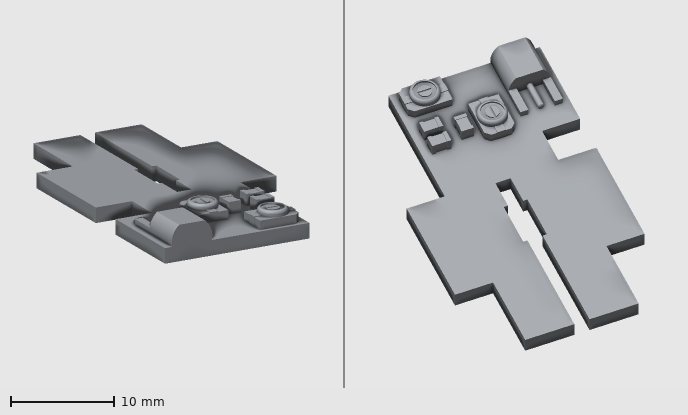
import cadquery as cq

board_length = 34.0
board_width = 20.0
board_thickness = 1.6
wing_start_x = 8.0
wing_end_x = 20.0
corner_start_x = 24.0
edge_step = 4.0
slot_end_x = 19.62
slot_width = 1.6
window_start_x = 11.65
window_end_x = 16.5
window_width = 2.48

chip_length = 2.0
chip_width = 1.3
chip_height = 1.25
cap_length = 0.4
core_inset = 0.07
chip_places = [(26.0, 14.0, 90), (28.0, 14.0, 90), (27.0, 11.0, 0)]

block_length = 4.52
block_width = 3.2
block_height = 0.95
block_chamfer = 0.5
contact_width = 0.9
contact_height = 1.05
contact_overhang = 0.05
rotor_radius = 1.53
rotor_rim_radius = 1.3
rotor_shoulder_height = 1.3
rotor_height = 1.6
rotor_rim_bulge = 0.055
recess_radius = 1.2
recess_depth = 0.2
screw_radius = 0.7
screw_height = 0.15
screw_slot_width = 0.2
trimmer_places = [(27.0, 8.0, 0), (32.0, 13.0, -90)]

connector_y = 3.0
shell_length = 4.5
shell_radius = 2.25
shell_height = 2.15
axis_height = 0.4
prong_reach = 3.0
prong_height = 0.65
prong_inner_y = 1.4
pin_radius = 0.35
pin_chamfer = 0.1


def make_board():
    middle_y = board_width / 2
    far_step_y = board_width - edge_step
    outline = [
        (0, edge_step),
        (wing_start_x, edge_step),
        (wing_start_x, 0),
        (wing_end_x, 0),
        (wing_end_x, edge_step),
        (corner_start_x, edge_step),
        (corner_start_x, 0),
        (board_length, 0),
        (board_length, far_step_y),
        (wing_end_x, far_step_y),
        (wing_end_x, board_width),
        (wing_start_x, board_width),
        (wing_start_x, far_step_y),
        (0, far_step_y),
    ]
    plate = cq.Workplane("XY").polyline(outline).close().extrude(board_thickness)
    slot = (
        cq.Workplane("XY")
        .center(slot_end_x / 2, middle_y)
        .rect(slot_end_x, slot_width)
        .extrude(board_thickness)
    )
    window = (
        cq.Workplane("XY")
        .center((window_start_x + window_end_x) / 2, middle_y)
        .rect(window_end_x - window_start_x, window_width)
        .extrude(board_thickness)
    )
    return plate.cut(slot).cut(window)


def place_on_board(body, x, y, turn):
    """Turn a body about its own Z axis and stand it on the board."""
    return body.rotate((0, 0, 0), (0, 0, 1), turn).translate((x, y, board_thickness))


def make_chip():
    """Chip centred on the origin, lengthwise along X, standing on Z = 0."""
    core = (
        cq.Workplane("XY")
        .workplane(offset=core_inset)
        .rect(chip_length - cap_length, chip_width - 2 * core_inset)
        .extrude(chip_height - 2 * core_inset)
    )
    cap_offset = (chip_length - cap_length) / 2
    caps = (
        cq.Workplane("XY")
        .pushPoints([(-cap_offset, 0), (cap_offset, 0)])
        .rect(cap_length, chip_width)
        .extrude(chip_height)
    )
    return core.union(caps)


def make_rotor():
    """Round rotor with a rounded rim and a slotted screw in its recess."""
    floor_height = rotor_height - recess_depth
    rotor = (
        cq.Workplane("XZ")
        .lineTo(rotor_radius, 0)
        .lineTo(rotor_radius, rotor_shoulder_height)
        .sagittaArc((rotor_rim_radius, rotor_height), -rotor_rim_bulge)
        .lineTo(0, rotor_height)
        .close()
        .revolve(360, (0, 0), (0, 1))
    )
    recess = cq.Workplane("XY").workplane(offset=floor_height).circle(recess_radius).extrude(recess_depth)
    screw = cq.Workplane("XY").workplane(offset=floor_height).circle(screw_radius).extrude(screw_height)
    screw_slot = (
        cq.Workplane("XY")
        .workplane(offset=floor_height)
        .rect(2 * screw_radius, screw_slot_width)
        .extrude(screw_height)
    )
    return rotor.cut(recess).union(screw.cut(screw_slot))


def make_trimmer():
    """Trimmer centred on the origin, lengthwise along X, standing on Z = 0."""
    block = (
        cq.Workplane("XY")
        .rect(block_length, block_width)
        .extrude(block_height)
        .edges("|Z and <X")
        .chamfer(block_chamfer)
    )
    contacts = (
        cq.Workplane("XY")
        .rect(block_length + 2 * contact_overhang, contact_width)
        .extrude(contact_height)
    )
    return block.union(contacts).union(make_rotor())


def make_connector():
    """Edge connector, its back flush with the board's +X end."""
    shell_start_x = board_length - shell_length
    prong_start_x = shell_start_x - prong_reach
    full_length = shell_length + prong_reach

    def axis_plane(x):
        origin = (x, connector_y, board_thickness + axis_height)
        return cq.Workplane(cq.Plane(origin=origin, xDir=(0, 1, 0), normal=(1, 0, 0)))

    def board_box(x, length, y, width, height):
        corner = (x, connector_y + y, board_thickness)
        return cq.Workplane("XY").box(length, width, height, centered=False).translate(corner)

    round_bar = axis_plane(prong_start_x).circle(shell_radius).extrude(full_length)
    shell = round_bar.intersect(
        board_box(shell_start_x, shell_length, -shell_radius, 2 * shell_radius, shell_height)
    )

    prong_width = shell_radius - prong_inner_y
    for inner_corner_y in (-shell_radius, prong_inner_y):
        prong_box = board_box(prong_start_x, full_length, inner_corner_y, prong_width, prong_height)
        shell = shell.union(round_bar.intersect(prong_box))

    pin = (
        axis_plane(prong_start_x)
        .circle(pin_radius)
        .extrude(full_length)
        .faces("<X")
        .chamfer(pin_chamfer)
    )
    return shell.union(pin)


board = make_board()
chips = [place_on_board(make_chip(), *place) for place in chip_places]
trimmers = [place_on_board(make_trimmer(), *place) for place in trimmer_places]
connector = make_connector()

result = cq.Compound.makeCompound(
    [board.val()]
    + [chip.val() for chip in chips]
    + [trimmer.val() for trimmer in trimmers]
    + [connector.val()]
)